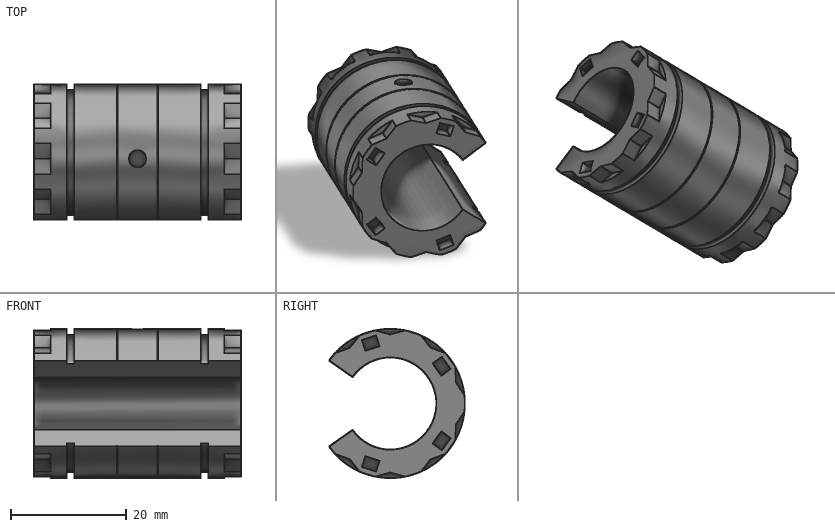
import cadquery as cq
import math

length = 36
outer_radius = 13.0
bore_radius = 8.0
opening_half_angle = 35

wide_groove_offset = 11.63
wide_groove_width = 1.25
wide_groove_depth = 1.0
fine_groove_offset = 3.5
fine_groove_width = 0.2
fine_groove_depth = 0.18

notch_length = 2.95
notch_depth = 1.0
notch_half_angle = 11.8
notch_pitch = 36
notch_count = 8

pocket_inner_radius = 10.05
pocket_height = 1.98
pocket_width = 2.6
pocket_depth = 2.95
pocket_pitch = 72
pocket_count = 4

hole_diameter = 3.0
hole_depth = 3.0

half_length = length / 2


def along_x(outline, start, depth):
    """Extrude a YZ outline towards +X, beginning at X = start."""
    return outline(cq.Workplane("YZ").workplane(offset=start)).extrude(depth)


def angles_about_back(count, pitch):
    """Evenly pitched angles, balanced about +Y, measured from +Y towards +Z."""
    return [(index - (count - 1) / 2) * pitch for index in range(count)]


def sleeve():
    reach = 2 * outer_radius
    spread = reach * math.tan(math.radians(opening_half_angle))
    ring = along_x(lambda plane: plane.circle(outer_radius).circle(bore_radius), -half_length, length)
    opening = along_x(
        lambda plane: plane.polyline([(0, 0), (-reach, spread), (-reach, -spread)]).close(),
        -half_length,
        length,
    )
    return ring.cut(opening)


def square_groove(middle, width, depth):
    return along_x(
        lambda plane: plane.circle(outer_radius + depth).circle(outer_radius - depth),
        middle - width / 2,
        width,
    )


def v_groove(middle, width, depth):
    """V ring groove whose flanks run on to twice its depth and width, past the surface."""
    section = [
        (middle, outer_radius - depth),
        (middle - width, outer_radius + depth),
        (middle + width, outer_radius + depth),
    ]
    return cq.Workplane("XY").polyline(section).close().revolve(360, (0, 0), (1, 0))


def notch(start):
    """V notch on the +Y side; its flanks run on past the rim."""
    edge_angle = math.radians(notch_half_angle)
    bottom = outer_radius - notch_depth
    overrun = 2
    outer = bottom + overrun * (outer_radius * math.cos(edge_angle) - bottom)
    half_width = overrun * outer_radius * math.sin(edge_angle)
    return along_x(
        lambda plane: plane.polyline([(bottom, 0), (outer, half_width), (outer, -half_width)]).close(),
        start,
        notch_length,
    )


def pocket(start):
    middle_radius = pocket_inner_radius + pocket_height / 2
    return along_x(
        lambda plane: plane.center(middle_radius, 0).rect(pocket_height, pocket_width),
        start,
        pocket_depth,
    )


def top_hole():
    floor = outer_radius - hole_depth
    return cq.Workplane("XY").workplane(offset=floor).circle(hole_diameter / 2).extrude(2 * hole_depth)


def cut_at_angles(body, cutter, angles):
    for angle in angles:
        body = body.cut(cutter.rotate((0, 0, 0), (1, 0, 0), angle))
    return body


result = sleeve()

for side in (-1, 1):
    result = result.cut(square_groove(side * wide_groove_offset, wide_groove_width, wide_groove_depth))
    result = result.cut(v_groove(side * fine_groove_offset, fine_groove_width, fine_groove_depth))

for notch_start, pocket_start in (
    (-half_length, -half_length),
    (half_length - notch_length, half_length - pocket_depth),
):
    result = cut_at_angles(result, notch(notch_start), angles_about_back(notch_count, notch_pitch))
    result = cut_at_angles(result, pocket(pocket_start), angles_about_back(pocket_count, pocket_pitch))

result = result.cut(top_hole())